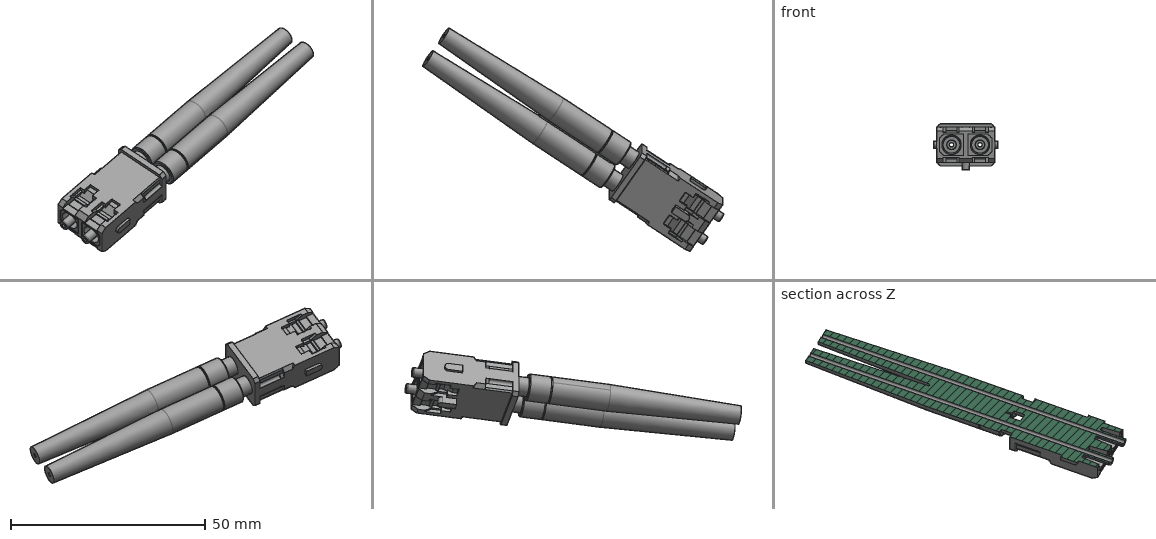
import cadquery as cq
import math


overall_width = 16.5
overall_length = 86.4
overall_height = 11.9

body_width = 15.0
body_height = 9.15
flange_front = 23.6
flange_rear = 25.1
flange_height = 11.0
flange_corner = 0.95
nose_length = 1.55
nose_drop = 1.0

channel_pitch = 7.3
fibre_hole_diameter = 1.0

ferrule_diameter = 2.5
ferrule_tip_diameter = 2.3
ferrule_tip_length = 0.35
ferrule_reach = 2.2
socket_diameter = 5.0
socket_floor_diameter = 4.3
socket_depth = 5.2

recess_depth = 0.3
recess_height = 5.5
recess_inner = 0.6
recess_outer = 6.7
recess_corner = 1.0

boot_diameter = 7.0
boot_tip_diameter = 4.8
neck_diameter = 5.0
boot_front = 28.15
boot_edge = 0.3
boot_taper_start = 49.4
boot_tip = overall_length - ferrule_reach
groove_position = 34.0
groove_width = 0.35
groove_depth = 0.2
web_front = 29.7
web_rear = 51.8
web_height = 0.9

key_width = 1.9
key_front = 5.4
key_rear = 10.2
side_key_reach = overall_width / 2
bottom_key_reach = overall_height - flange_height / 2

latch_inner_half = 2.0
latch_outer_half = 2.2
latch_floor = 3.3
latch_dip_floor = 2.9
latch_low_floor = 2.7
latch_dip_start = 2.1
latch_ridge_start = 4.4
latch_ridge_end = 5.2
latch_ramp_start = 6.5
latch_ramp_end = 8.6
latch_rear = 9.9
latch_tail_floor = 3.7
latch_wide_end = 7.5
tail_width = 2.85

pocket_width = 5.4
pocket_floor = 3.5
pocket_front = 3.4

grip_front = 13.2
grip_bevel_run = 0.8
grip_bevel_bottom = 3.45
grip_inner = 6.6
grip_pocket_front = 16.4
grip_pocket_face = 6.8
grip_pocket_shoulder = 4.1
grip_ledge_top = 2.8
grip_ledge_bottom = 1.6
grip_groove_front = 17.4
grip_groove_radius = 0.7

half_width = body_width / 2
half_height = body_height / 2
channel_offset = channel_pitch / 2
overlap = 0.9


def both_halves(shape, plane):
    """Return the shape joined with its mirror image across the plane."""
    return shape.union(shape.mirror(plane))


def box_between(x_range, y_range, z_range):
    """Return a box spanning the three (low, high) ranges."""
    lows, highs = zip(x_range, y_range, z_range)
    sizes = [high - low for low, high in zip(lows, highs)]
    return cq.Workplane("XY").box(*sizes, centered=False).translate(lows)


def along_x(points, x_low, x_high):
    """Extrude a (y, z) outline from x_low to x_high."""
    profile = cq.Workplane("YZ", origin=(x_low, 0, 0)).polyline(points).close()
    return profile.extrude(x_high - x_low)


def cylinder_y(diameter, y_low, y_high):
    """Return a cylinder on the right-hand fibre axis."""
    start = cq.Workplane("XZ", origin=(channel_offset, y_low, 0))
    return start.circle(diameter / 2).extrude(y_low - y_high)


def revolve_on_axis(outline):
    """Revolve a (radius, y) outline about the right-hand fibre axis."""
    turned = cq.Workplane("XY").polyline(outline).close().revolve(360, (0, 0, 0), (0, 1, 0))
    return turned.translate((channel_offset, 0, 0))


def make_housing():
    """Return the solid housing with its tapered nose and rear flange."""
    side_outline = [
        (0, half_height - nose_drop),
        (nose_length, half_height),
        (flange_front, half_height),
        (flange_front, -half_height),
        (nose_length, -half_height),
        (0, nose_drop - half_height),
    ]
    body = along_x(side_outline, -half_width, half_width)
    flange = box_between(
        (-half_width, half_width),
        (flange_front, flange_rear),
        (-flange_height / 2, flange_height / 2),
    )
    flange = flange.edges("|Y").chamfer(flange_corner)
    return body.union(flange)


def make_key(reach):
    """Return a key along +X with a rounded front end, from the part's centre to its reach."""
    radius = key_width / 2
    tangent = key_front + radius
    outline = (
        cq.Workplane("YZ")
        .moveTo(key_rear, radius)
        .lineTo(tangent, radius)
        .threePointArc((key_front, 0), (tangent, -radius))
        .lineTo(key_rear, -radius)
        .close()
    )
    return outline.extrude(reach)


def make_keys():
    """Return one key on each side and one below."""
    side_keys = both_halves(make_key(side_key_reach), "YZ")
    bottom_key = make_key(bottom_key_reach).rotate((0, 0, 0), (0, 1, 0), 90)
    return side_keys.union(bottom_key)


def make_socket_cut():
    """Return the recess and tapered round socket around the right-hand ferrule."""
    recess = box_between(
        (recess_inner, recess_outer),
        (0, recess_depth),
        (-recess_height / 2, recess_height / 2),
    )
    recess = recess.edges("|Y and >X").chamfer(recess_corner)
    socket_outline = [
        (0, 0),
        (socket_diameter / 2, 0),
        (socket_diameter / 2, recess_depth),
        (socket_floor_diameter / 2, socket_depth),
        (0, socket_depth),
    ]
    return recess.union(revolve_on_axis(socket_outline))


def make_latch_cut():
    """Return the stepped latch channel above the right-hand ferrule."""
    top = half_height
    floor = [
        (-overlap, latch_floor),
        (latch_dip_start, latch_floor),
        (latch_dip_start, latch_dip_floor),
        (latch_ridge_start, latch_dip_floor),
        (latch_ridge_start, latch_floor),
        (latch_ridge_end, latch_floor),
        (latch_ridge_end, latch_low_floor),
        (latch_ramp_start, latch_low_floor),
        (latch_ramp_end, latch_tail_floor),
        (latch_rear, latch_tail_floor),
    ]
    outline = floor + [(latch_rear, top), (-overlap, top)]
    x_low = channel_offset - latch_inner_half
    x_high = channel_offset + latch_outer_half
    channel = along_x(outline, x_low, x_high)
    full_part = box_between((x_low, x_high), (-overlap, latch_wide_end), (0, top))
    tail_low = channel_offset - tail_width / 2
    tail_part = box_between((tail_low, tail_low + tail_width), (0, latch_rear), (0, top))
    channel = channel.intersect(full_part.union(tail_part))

    pocket_outline = [
        (pocket_front, top),
        (latch_ridge_end, pocket_floor),
        (latch_wide_end, pocket_floor),
        (latch_wide_end, top),
    ]
    pocket_low = channel_offset - pocket_width / 2
    return channel.union(along_x(pocket_outline, pocket_low, pocket_low + pocket_width))


def make_grip_groove():
    """Return the round groove that meets the grip pocket's face and turns into a flat ledge."""
    radius = grip_groove_radius
    centre_z = grip_ledge_bottom + radius
    top_rise = grip_ledge_top - centre_z
    centre_x = grip_pocket_face + math.sqrt(radius**2 - top_rise**2)
    groove = (
        cq.Workplane("XZ", origin=(0, flange_front, 0))
        .moveTo(grip_pocket_face, grip_ledge_top)
        .threePointArc((centre_x - radius, centre_z), (centre_x, grip_ledge_bottom))
        .lineTo(half_width, grip_ledge_bottom)
        .lineTo(half_width, grip_ledge_top)
        .close()
    )
    return groove.extrude(flange_front - grip_groove_front)


def make_grip_cut():
    """Return the bevel and grip pocket on the upper right-hand rear edge."""
    bevel_face = [
        (grip_inner, half_height),
        (half_width, half_height),
        (half_width, grip_bevel_bottom),
    ]
    bevel = (
        cq.Workplane("XZ", origin=(0, flange_front, 0))
        .polyline(bevel_face)
        .close()
        .extrude(flange_front - grip_front)
    )
    end_slope = [
        (grip_front, half_height),
        (grip_front + grip_bevel_run, grip_bevel_bottom),
        (flange_front, grip_bevel_bottom),
        (flange_front, half_height),
    ]
    bevel = bevel.intersect(along_x(end_slope, grip_inner, half_width))
    pocket_face = [
        (grip_inner, half_height),
        (grip_pocket_face, grip_pocket_shoulder),
        (grip_pocket_face, grip_ledge_top),
        (half_width, grip_ledge_bottom),
        (half_width, half_height),
    ]
    pocket = (
        cq.Workplane("XZ", origin=(0, flange_front, 0))
        .polyline(pocket_face)
        .close()
        .extrude(flange_front - grip_pocket_front)
    )
    return bevel.union(pocket).union(make_grip_groove())


def make_ferrule():
    """Return the right-hand ferrule with its narrowed tip."""
    radius = ferrule_diameter / 2
    rear = socket_depth + overlap
    outline = [
        (0, -ferrule_reach),
        (ferrule_tip_diameter / 2, -ferrule_reach),
        (radius, ferrule_tip_length - ferrule_reach),
        (radius, rear),
        (0, rear),
    ]
    return revolve_on_axis(outline)


def make_boot():
    """Return the right-hand neck and tapered boot, revolved about the fibre axis."""
    radius = boot_diameter / 2
    neck_radius = neck_diameter / 2
    groove_radius = radius - groove_depth
    outline = [
        (0, flange_rear - overlap),
        (neck_radius, flange_rear - overlap),
        (neck_radius, boot_front),
        (radius - boot_edge, boot_front),
        (radius, boot_front + boot_edge),
        (radius, groove_position - groove_width / 2),
        (groove_radius, groove_position - groove_width / 2),
        (groove_radius, groove_position + groove_width / 2),
        (radius, groove_position + groove_width / 2),
        (radius, boot_taper_start),
        (boot_tip_diameter / 2, boot_tip),
        (0, boot_tip),
    ]
    return revolve_on_axis(outline)


def make_web():
    """Return the thin web joining the two boots."""
    return box_between(
        (-overlap, overlap),
        (web_front, web_rear),
        (-web_height / 2, web_height / 2),
    )


housing = make_housing().union(make_keys())
housing = housing.cut(both_halves(make_socket_cut(), "YZ"))
housing = housing.cut(both_halves(both_halves(make_latch_cut(), "YZ"), "XY"))
housing = housing.cut(both_halves(both_halves(make_grip_cut(), "YZ"), "XY"))

fibre_lines = both_halves(make_ferrule().union(make_boot()), "YZ")
fibre_holes = both_halves(cylinder_y(fibre_hole_diameter, -ferrule_reach, boot_tip), "YZ")

result = housing.union(fibre_lines).union(make_web()).cut(fibre_holes)